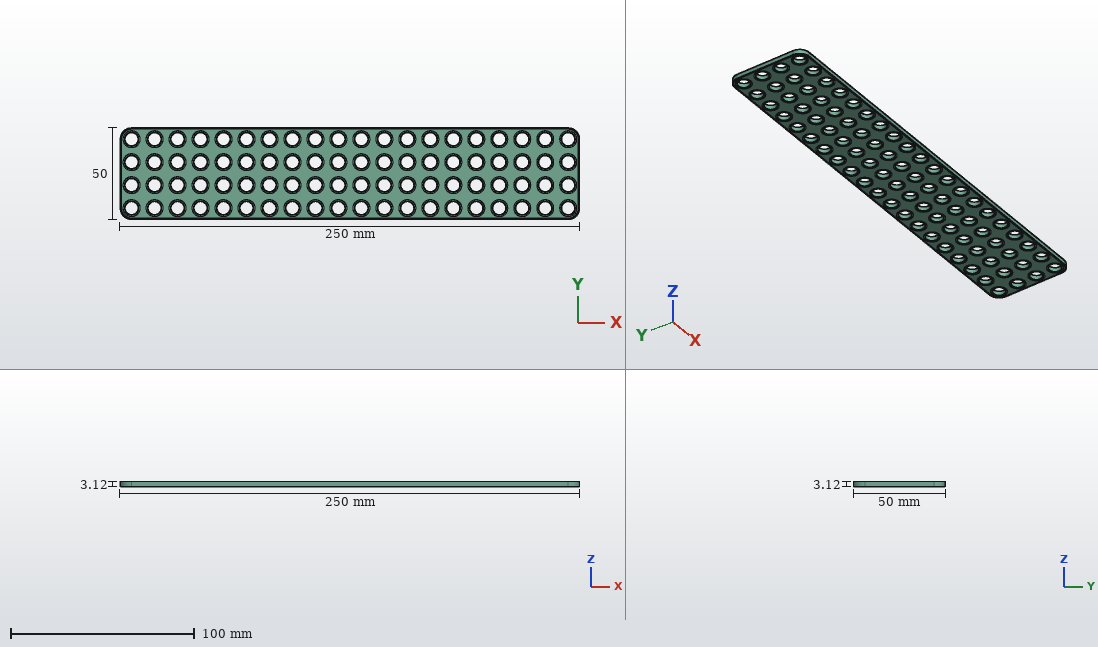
import cadquery as cq

pitch = 12.5
columns = 20
rows = 4

length = columns * pitch
width = rows * pitch
thickness = pitch / 4
corner_radius = pitch / 2

step_height = 0.1
rim_step_width = 0.4

bore_diameter = 7.0
middle_diameter = 7.8
mouth_diameter = 9.2


def make_rounded_slab(inset, height):
    """Slab centred on the origin, its outline moved inwards by the inset."""
    return (
        cq.Workplane("XY")
        .box(length - 2 * inset, width - 2 * inset, height)
        .edges("|Z")
        .fillet(corner_radius - inset)
    )


def make_plate():
    """Plate whose outline shrinks in two steps towards each face."""
    core = make_rounded_slab(0, thickness - 4 * step_height)
    middle = make_rounded_slab(rim_step_width, thickness - 2 * step_height)
    faces = make_rounded_slab(2 * rim_step_width, thickness)
    return core.union(middle).union(faces)


def make_hole_cutter():
    """Solid of one through hole that widens in two steps at each face."""
    bore_radius = bore_diameter / 2
    middle_radius = middle_diameter / 2
    mouth_radius = mouth_diameter / 2
    face_z = thickness / 2
    mouth_z = face_z - step_height
    middle_z = mouth_z - step_height
    half_profile = (
        cq.Workplane("XZ")
        .lineTo(bore_radius, 0)
        .lineTo(bore_radius, middle_z)
        .lineTo(middle_radius, middle_z)
        .lineTo(middle_radius, mouth_z)
        .lineTo(mouth_radius, mouth_z)
        .lineTo(mouth_radius, face_z)
        .lineTo(0, face_z)
        .close()
    )
    upper_half = half_profile.revolve(360, (0, 0, 0), (0, 1, 0))
    return upper_half.union(upper_half.mirror("XY")).val()


hole_cutter = make_hole_cutter()
hole_cutters = (
    cq.Workplane("XY")
    .rarray(pitch, pitch, columns, rows)
    .eachpoint(lambda location: hole_cutter.moved(location), combine=False)
)

result = make_plate().cut(hole_cutters)